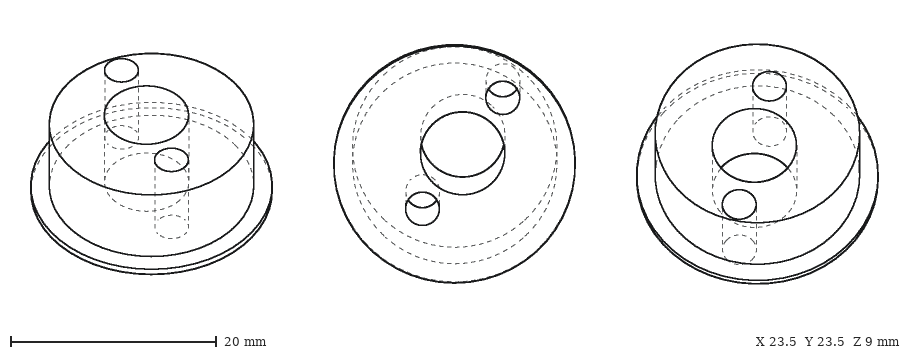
import cadquery as cq

flange_diameter = 23.5
flange_thickness = 0.7
drum_diameter = 19.9
total_height = 9.0

bore_diameter = 8.2
bore_center_x = -1.36
side_hole_diameter = 3.3
side_hole_offset = 6.75


def cylinder(diameter, height, center_x=0):
    """Upright cylinder standing on the base plane."""
    return cq.Workplane("XY").center(center_x, 0).circle(diameter / 2).extrude(height)


flange = cylinder(flange_diameter, flange_thickness)
drum = cylinder(drum_diameter, total_height)
body = flange.union(drum)

bore = cylinder(bore_diameter, total_height, bore_center_x)
result = body.cut(bore)

for side in (-1, 1):
    hole_center_x = bore_center_x + side * side_hole_offset
    result = result.cut(cylinder(side_hole_diameter, total_height, hole_center_x))